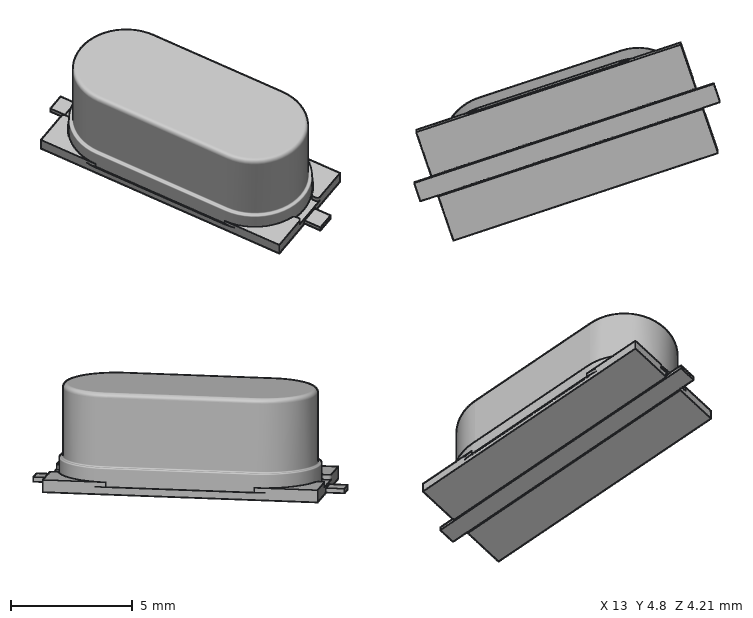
import cadquery as cq

PLATE_LENGTH = 11.48
PLATE_WIDTH = 4.8
PLATE_HEIGHT = 0.52

RECESS_FLOOR = 0.31
RECESS_RADIUS = PLATE_WIDTH / 2
END_OPENING_WIDTH = 1.36
OPENING_FILLET = 0.12

LEAD_SPAN = 13.0
LEAD_WIDTH = 0.8
LEAD_HEIGHT = 0.2
LEAD_SIDE_GAP = 0.045

ARC_CENTER_SPACING = 6.2
FLANGE_RADIUS = 2.35
FLANGE_TOP = 1.1
LEDGE_FILLET = 0.05
CAP_RADIUS = 2.2
CAP_TOP = 4.21
CAP_FILLET = 0.2

SELECTION_MARGIN = 0.01


def stadium(radius, bottom, top):
    """Upright prism with straight sides and semicircular ends."""
    return (
        cq.Workplane("XY")
        .workplane(offset=bottom)
        .slot2D(ARC_CENTER_SPACING + 2 * radius, 2 * radius)
        .extrude(top - bottom)
    )


def centered_bar(length, width, bottom, top):
    """Rectangular bar along X, centered on the part."""
    return cq.Workplane("XY").workplane(offset=bottom).rect(length, width).extrude(top - bottom)


def make_plate():
    plate = centered_bar(PLATE_LENGTH, PLATE_WIDTH, 0, PLATE_HEIGHT)
    recess = stadium(RECESS_RADIUS, RECESS_FLOOR, PLATE_HEIGHT)
    end_openings = centered_bar(PLATE_LENGTH, END_OPENING_WIDTH, RECESS_FLOOR, PLATE_HEIGHT)
    plate = plate.cut(recess.union(end_openings))

    half_opening = END_OPENING_WIDTH / 2
    corner_zone = cq.selectors.BoxSelector(
        (-PLATE_LENGTH, -half_opening - OPENING_FILLET, RECESS_FLOOR),
        (PLATE_LENGTH, half_opening + OPENING_FILLET, PLATE_HEIGHT),
    )
    plate = plate.edges("|Z").edges(corner_zone).fillet(OPENING_FILLET)

    groove = centered_bar(PLATE_LENGTH, LEAD_WIDTH + 2 * LEAD_SIDE_GAP, 0, LEAD_HEIGHT)
    return plate.cut(groove)


def make_lead_strip():
    return centered_bar(LEAD_SPAN, LEAD_WIDTH, 0, LEAD_HEIGHT)


def make_can():
    flange = stadium(FLANGE_RADIUS, RECESS_FLOOR, FLANGE_TOP).faces(">Z").edges().fillet(LEDGE_FILLET)
    cap = stadium(CAP_RADIUS, RECESS_FLOOR, CAP_TOP).faces(">Z").edges().fillet(CAP_FILLET)

    cap_half_length = ARC_CENTER_SPACING / 2 + CAP_RADIUS
    concave_corner = cq.selectors.BoxSelector(
        (-cap_half_length - SELECTION_MARGIN, -CAP_RADIUS - SELECTION_MARGIN, FLANGE_TOP - SELECTION_MARGIN),
        (cap_half_length + SELECTION_MARGIN, CAP_RADIUS + SELECTION_MARGIN, FLANGE_TOP + SELECTION_MARGIN),
        boundingbox=True,
    )
    return flange.union(cap).edges(concave_corner).fillet(LEDGE_FILLET)


result = make_plate().union(make_lead_strip()).union(make_can())